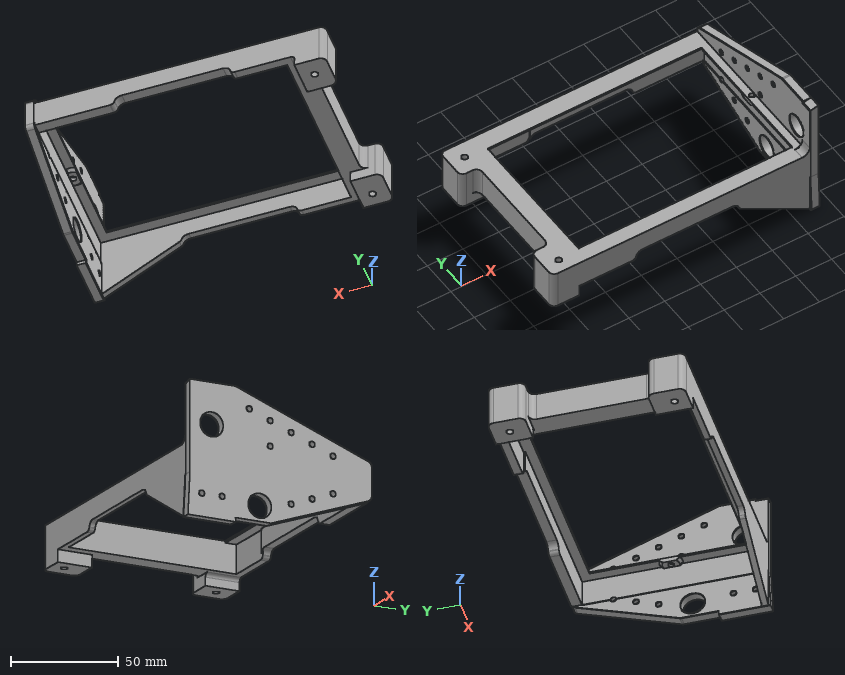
import cadquery as cq
LENGTH = 148.7
FRAME_WIDTH = 95.6
SHEET_TOP = 36.7
SHEET_THICKNESS = 1.0
RAIL_BOTTOM = 21.3
ARCH_BOTTOM = 25.9
FOOT_BOTTOM = 15.0

PLATE_THICKNESS = 4.5
FLANGE_THICKNESS = 0.5
PLATE_FRONT = LENGTH - PLATE_THICKNESS
FLANGE_FRONT = PLATE_FRONT - FLANGE_THICKNESS
PLATE_HEIGHT = 66.6
PLATE_FLARE = 1.0
PLATE_FLAT_Y = 24.1
PLATE_SHOULDER_Z = 39.4
BOTTOM_STEP_Z = 2.1
BOTTOM_SLOPE_Y = 42.7
PLATE_CORNER_RADIUS = 2.5

WINDOW_FRONT = 20.2
WINDOW_BACK = 139.5
WINDOW_Y_MIN = 8.3
WINDOW_Y_MAX = 85.5
NOTCH_DEPTH = 9.8
FOOT_WIDTH = 18.0
FOOT_LENGTH = 15.2
CORNER_RADIUS = 3.1
FOOT_COVE_RADIUS = 2.0

NEAR_WALL_THICKNESS = 3.1
FAR_WALL_THICKNESS = 4.3
FAR_WALL_THICK = 5.2
FAR_WALL_THICK_START = 47.1
ARCH_START = 47.7
ARCH_END = 103.5
ARCH_STEP_RUN = 1.3
ARCH_RADIUS = 3.7
STEP_RADIUS = 2.2
GUSSET_SLOPE = 0.57

CORNER_BLOCK_WIDTH = 6.2
COVE_RADIUS = 4.2
TOP_BEVEL_DROP = 1.0

SCREW_DIAMETER = 3.3
SCREW_X = 8.2
SCREW_Y = (7.0, 86.8)
SMALL_DIAMETER = 2.8
TRAY_HOLE_X = 142.2
TRAY_HOLE_Y = 46.7
BOSS_BASE_RADIUS = 5.7
BOSS_TIP_RADIUS = 4.2
BOSS_HEIGHT = 1.5
CABLE_DIAMETER = 12.0
CABLE_HOLES = [(11.5, 46.0), (36.7, 9.8)]
ROW_START_Y = 75.2
ROW_PITCH_Y = 11.0
ROW_PITCH_Z = 4.2
UPPER_ROW_Z = 39.9
LOWER_ROW_Z = 21.4
UPPER_ROW_COUNT = 5
LOWER_ROW_COUNT = 3
LOWER_PAIR = [(6.2, 11.5), (17.0, 11.5)]

SHEET_BOTTOM = SHEET_TOP - SHEET_THICKNESS


def box(x_range, y_range, z_range):
    """Axis-aligned block given by its (min, max) ranges."""
    return (
        cq.Workplane("XY", origin=(x_range[0], y_range[0], z_range[0]))
        .box(x_range[1] - x_range[0], y_range[1] - y_range[0], z_range[1] - z_range[0], centered=False)
    )


def plate_slab(x_start, thickness):
    """Slab with the back plate outline, from x_start towards +X."""
    outline = [
        (-PLATE_FLARE, 0),
        (PLATE_FLAT_Y, 0),
        (PLATE_FLAT_Y, BOTTOM_STEP_Z),
        (BOTTOM_SLOPE_Y, BOTTOM_STEP_Z),
        (FRAME_WIDTH, RAIL_BOTTOM),
        (FRAME_WIDTH, PLATE_SHOULDER_Z),
        (PLATE_FLAT_Y, PLATE_HEIGHT),
        (0, PLATE_HEIGHT),
        (0, RAIL_BOTTOM),
    ]
    slab = cq.Workplane("YZ", origin=(x_start, 0, 0)).polyline(outline).close().extrude(thickness)
    middle_x = x_start + thickness / 2
    rounded = [
        (BOTTOM_SLOPE_Y, BOTTOM_STEP_Z),
        (FRAME_WIDTH, RAIL_BOTTOM),
        (FRAME_WIDTH, PLATE_SHOULDER_Z),
        (PLATE_FLAT_Y, PLATE_HEIGHT),
    ]
    for y, z in rounded:
        slab = slab.edges(cq.selectors.NearestToPointSelector((middle_x, y, z))).fillet(PLATE_CORNER_RADIUS)
    return slab


def plate_holes():
    """Drills for every hole that runs through the flange and the back plate."""
    upper_row = [
        (ROW_START_Y - i * ROW_PITCH_Y, UPPER_ROW_Z + i * ROW_PITCH_Z) for i in range(UPPER_ROW_COUNT)
    ]
    lower_row = [
        (ROW_START_Y - i * ROW_PITCH_Y, LOWER_ROW_Z - i * ROW_PITCH_Z) for i in range(LOWER_ROW_COUNT)
    ]
    single_hole = (ROW_START_Y - 3 * ROW_PITCH_Y, UPPER_ROW_Z)
    small_holes = upper_row + lower_row + [single_hole] + LOWER_PAIR
    start = cq.Workplane("YZ", origin=(FLANGE_FRONT, 0, 0))
    depth = LENGTH - FLANGE_FRONT
    small = start.pushPoints(small_holes).circle(SMALL_DIAMETER / 2).extrude(depth)
    large = start.pushPoints(CABLE_HOLES).circle(CABLE_DIAMETER / 2).extrude(depth)
    return small.add(large).combine()


def top_bevel():
    """Wedge that lowers the front of the top edge above the corner block."""
    return (
        cq.Workplane("XZ")
        .polyline([
            (FLANGE_FRONT, PLATE_HEIGHT),
            (LENGTH, PLATE_HEIGHT),
            (FLANGE_FRONT, PLATE_HEIGHT - TOP_BEVEL_DROP),
        ])
        .close()
        .extrude(-CORNER_BLOCK_WIDTH)
    )


def tray_plan(z_bottom):
    """Notched plan outline of the tray, from z_bottom up to the sheet top."""
    height = SHEET_TOP - z_bottom
    plan = box((0, FLANGE_FRONT), (0, FRAME_WIDTH), (z_bottom, SHEET_TOP))
    plan = plan.edges("|Z and <X").fillet(CORNER_RADIUS)
    notch_width = FRAME_WIDTH - 2 * FOOT_WIDTH
    notch = box((0, NOTCH_DEPTH), (FOOT_WIDTH, FOOT_WIDTH + notch_width), (z_bottom, SHEET_TOP))
    plan = plan.cut(notch.edges("|Z and >X").fillet(CORNER_RADIUS))
    tip_edges = cq.selectors.BoxSelector(
        (-1.5, FOOT_WIDTH - 1.5, z_bottom - 1.5), (1.5, FOOT_WIDTH + notch_width + 1.5, z_bottom + height + 1.5)
    )
    return plan.edges(tip_edges).edges("|Z").fillet(CORNER_RADIUS)


def tray_sheet():
    """Thin sheet with the large window."""
    window = box((WINDOW_FRONT, WINDOW_BACK), (WINDOW_Y_MIN, WINDOW_Y_MAX), (SHEET_BOTTOM, SHEET_TOP))
    return tray_plan(SHEET_BOTTOM).cut(window)


def front_bar():
    """Solid bar between the window and the front edge."""
    keep = box((0, WINDOW_FRONT), (0, FRAME_WIDTH), (RAIL_BOTTOM, SHEET_TOP))
    return tray_plan(RAIL_BOTTOM).intersect(keep)


def foot(y_min):
    """Block below one end of the front bar, rounded at its front corners."""
    block = box((0, FOOT_LENGTH), (y_min, y_min + FOOT_WIDTH), (FOOT_BOTTOM, RAIL_BOTTOM))
    return block.edges("|Z and <X").fillet(CORNER_RADIUS)


def foot_cove():
    """Concave fillet behind the +Y foot."""
    y_range = (FRAME_WIDTH - FOOT_WIDTH, FRAME_WIDTH)
    x_range = (FOOT_LENGTH, FOOT_LENGTH + FOOT_COVE_RADIUS)
    cove = box(x_range, y_range, (RAIL_BOTTOM - FOOT_COVE_RADIUS, RAIL_BOTTOM))
    round_cut = (
        cq.Workplane("XZ", origin=(x_range[1], y_range[0], RAIL_BOTTOM - FOOT_COVE_RADIUS))
        .circle(FOOT_COVE_RADIUS)
        .extrude(-FOOT_WIDTH)
    )
    return cove.cut(round_cut)


def side_wall(y_min, thickness, arch_foot, flange_foot):
    """Wall under the sheet with a raised arch.

    arch_foot and flange_foot are the (X, Z) ends of its underside behind the arch.
    """
    concave = [(ARCH_START, ARCH_BOTTOM), (ARCH_END, ARCH_BOTTOM)]
    convex = [(ARCH_START - ARCH_STEP_RUN, RAIL_BOTTOM), arch_foot]
    outline = [
        (FOOT_LENGTH, SHEET_TOP),
        (FOOT_LENGTH, RAIL_BOTTOM),
        convex[0],
        concave[0],
        concave[1],
        arch_foot,
        flange_foot,
        (FLANGE_FRONT, SHEET_TOP),
    ]
    wall = cq.Workplane("XZ", origin=(0, y_min, 0)).polyline(outline).close().extrude(-thickness)
    for corners, radius in [(concave, ARCH_RADIUS), (convex, STEP_RADIUS)]:
        for x, z in corners:
            corner = cq.selectors.NearestToPointSelector((x, y_min + thickness / 2, z))
            wall = wall.edges(corner).fillet(radius)
    return wall


def near_wall():
    """-Y wall; its underside slopes down to the foot of the flange as a gusset."""
    lean = ARCH_STEP_RUN / (ARCH_BOTTOM - RAIL_BOTTOM)
    gusset_length = (FLANGE_FRONT - ARCH_END - lean * ARCH_BOTTOM) / (1 - lean * GUSSET_SLOPE)
    arch_foot = (FLANGE_FRONT - gusset_length, GUSSET_SLOPE * gusset_length)
    return side_wall(0, NEAR_WALL_THICKNESS, arch_foot, (FLANGE_FRONT, 0))


def far_wall():
    """+Y wall, level at the rear and thicker from the start of the arch."""
    arch_foot = (ARCH_END + ARCH_STEP_RUN, RAIL_BOTTOM)
    flange_foot = (FLANGE_FRONT, RAIL_BOTTOM)
    wall = side_wall(FRAME_WIDTH - FAR_WALL_THICKNESS, FAR_WALL_THICKNESS, arch_foot, flange_foot)
    thick = side_wall(FRAME_WIDTH - FAR_WALL_THICK, FAR_WALL_THICK, arch_foot, flange_foot)
    keep = box((FAR_WALL_THICK_START, FLANGE_FRONT), (0, FRAME_WIDTH), (0, SHEET_TOP))
    return wall.union(thick.intersect(keep))


def flange_opening():
    """Opening in the flange between the side walls, from the rail underside up to the sheet."""
    return box(
        (FLANGE_FRONT, PLATE_FRONT),
        (NEAR_WALL_THICKNESS, FRAME_WIDTH - FAR_WALL_THICK),
        (RAIL_BOTTOM, SHEET_BOTTOM),
    )


def corner_cove():
    """Concave fillet between the sheet and the flange at the -Y corner."""
    corner_x = FLANGE_FRONT - COVE_RADIUS
    block = box((corner_x, FLANGE_FRONT), (0, CORNER_BLOCK_WIDTH), (SHEET_TOP, SHEET_TOP + COVE_RADIUS))
    round_cut = (
        cq.Workplane("XZ", origin=(corner_x, 0, SHEET_TOP + COVE_RADIUS))
        .circle(COVE_RADIUS)
        .extrude(-CORNER_BLOCK_WIDTH)
    )
    return block.cut(round_cut)


def tray_hole_boss():
    """Tapered boss under the sheet around the tray hole, trimmed at the window edge."""
    cone = (
        cq.Workplane("XY", origin=(TRAY_HOLE_X, TRAY_HOLE_Y, SHEET_BOTTOM))
        .circle(BOSS_BASE_RADIUS)
        .workplane(offset=-BOSS_HEIGHT)
        .circle(BOSS_TIP_RADIUS)
        .loft()
    )
    keep = box((WINDOW_BACK, FLANGE_FRONT), (0, FRAME_WIDTH), (SHEET_BOTTOM - BOSS_HEIGHT, SHEET_BOTTOM))
    return cone.intersect(keep)


def vertical_holes():
    """Screw holes in the feet and the hole in the tray sheet."""
    base = cq.Workplane("XY", origin=(0, 0, FOOT_BOTTOM))
    depth = SHEET_TOP - FOOT_BOTTOM
    screws = base.pushPoints([(SCREW_X, y) for y in SCREW_Y]).circle(SCREW_DIAMETER / 2).extrude(depth)
    tray_hole = base.center(TRAY_HOLE_X, TRAY_HOLE_Y).circle(SMALL_DIAMETER / 2).extrude(depth)
    return screws.add(tray_hole).combine()


def make_frame():
    """Tray, feet, walls and flange as one solid."""
    frame = tray_sheet()
    additions = [
        front_bar(),
        foot(0),
        foot(FRAME_WIDTH - FOOT_WIDTH),
        foot_cove(),
        near_wall(),
        far_wall(),
        corner_cove(),
        tray_hole_boss(),
        plate_slab(FLANGE_FRONT, FLANGE_THICKNESS),
    ]
    for addition in additions:
        frame = frame.union(addition)
    return frame.cut(flange_opening()).cut(plate_holes()).cut(vertical_holes()).cut(top_bevel())


def make_back_plate():
    """Plate behind the flange, with the same outline and holes."""
    return plate_slab(PLATE_FRONT, PLATE_THICKNESS).cut(plate_holes()).cut(top_bevel())


frame = make_frame()
back_plate = make_back_plate()
result = cq.Compound.makeCompound([frame.val(), back_plate.val()])